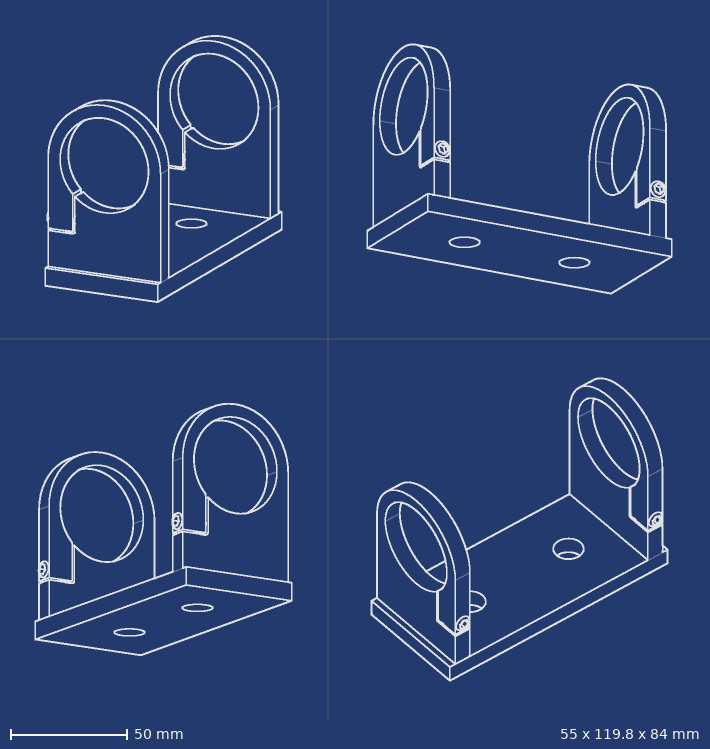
import cadquery as cq

plate_width = 54.0
plate_length = 119.8
plate_thickness = 8.0
plate_hole_diameter = 13.0
plate_hole_spacing = 53.9

clamp_thickness = 8.0
clamp_top = 84.0
clamp_radius = plate_width / 2
bore_diameter = 42.4
bore_height = clamp_top - clamp_radius
front_end_gap = 2.8
rear_end_gap = 3.0
front_clamp_y = -plate_length / 2 + front_end_gap + clamp_thickness / 2
rear_clamp_y = plate_length / 2 - rear_end_gap - clamp_thickness / 2

jaw_width = 11.9
slit_width = 1.1
slit_floor_height = 24.2
slit_height = 1.0
slit_outer_radius = 1.2
slit_inner_radius = 0.6
left_face = -plate_width / 2
jaw_right = left_face + jaw_width
slit_right = jaw_right + slit_width
jaw_bottom = slit_floor_height + slit_height

screw_height = 29.6
screw_diameter = 5.0
head_diameter = 7.1
head_height = 1.0
head_rounding = 0.9
socket_width = 4.1
socket_depth = 2.6
socket_turn = 45

stud_diameter = 6.2
stud_x = -17.0


def make_plate():
    plate = cq.Workplane("XY").box(
        plate_width, plate_length, plate_thickness, centered=(True, True, False)
    )
    return (
        plate.faces(">Z")
        .workplane()
        .rarray(1.2, plate_hole_spacing, 1, 2)
        .hole(plate_hole_diameter)
    )


def make_corner_block(right, bottom, corner_radius):
    """Block from the -X face to `right`, up to the bore axis, with its lower right corner rounded."""
    return (
        cq.Workplane("XZ")
        .moveTo(left_face, bottom)
        .lineTo(right, bottom)
        .lineTo(right, bore_height)
        .lineTo(left_face, bore_height)
        .close()
        .extrude(clamp_thickness / 2, both=True)
        .edges("|Y and >X and <Z")
        .fillet(corner_radius)
    )


def make_slit():
    """Slit running down from the bore and out through the -X face."""
    outer = make_corner_block(slit_right, slit_floor_height, slit_outer_radius)
    jaw = make_corner_block(jaw_right, jaw_bottom, slit_inner_radius)
    return outer.cut(jaw)


def make_ring_plate():
    """Upright plate with a round top and a bore, slit to form the jaw."""
    ring_plate = (
        cq.Workplane("XZ")
        .moveTo(left_face, plate_thickness)
        .lineTo(-left_face, plate_thickness)
        .lineTo(-left_face, bore_height)
        .threePointArc((0, clamp_top), (left_face, bore_height))
        .close()
        .extrude(clamp_thickness / 2, both=True)
    )
    bore = (
        cq.Workplane("XZ", origin=(0, 0, bore_height))
        .circle(bore_diameter / 2)
        .extrude(clamp_thickness, both=True)
    )
    return ring_plate.cut(bore).cut(make_slit())


def make_screw():
    head = (
        cq.Workplane("YZ", origin=(left_face, 0, screw_height))
        .circle(head_diameter / 2)
        .extrude(-head_height)
        .faces("<X")
        .edges()
        .fillet(head_rounding)
    )
    shank = (
        cq.Workplane("YZ", origin=(left_face, 0, screw_height))
        .circle(screw_diameter / 2)
        .extrude(slit_right - left_face)
    )
    return head.union(shank)


def make_socket():
    """Hexagonal driving socket in the screw head."""
    return (
        cq.Workplane("YZ", origin=(left_face - head_height, 0, screw_height))
        .transformed(rotate=(0, 0, socket_turn))
        .polygon(6, socket_width, circumscribed=True)
        .extrude(socket_depth)
    )


def make_stud():
    return (
        cq.Workplane("XY", origin=(stud_x, 0, plate_thickness))
        .circle(stud_diameter / 2)
        .extrude(screw_height - plate_thickness)
    )


def make_clamp(center_y):
    """Ring clamp with its screw and stud in one piece, standing at center_y."""
    clamp = make_ring_plate().union(make_screw()).union(make_stud()).cut(make_socket())
    return clamp.translate((0, center_y, 0))


base = make_plate().union(make_clamp(front_clamp_y), clean=False)

rear_clamp = make_clamp(rear_clamp_y)

result = cq.Compound.makeCompound([base.solids().val(), rear_clamp.solids().val()])